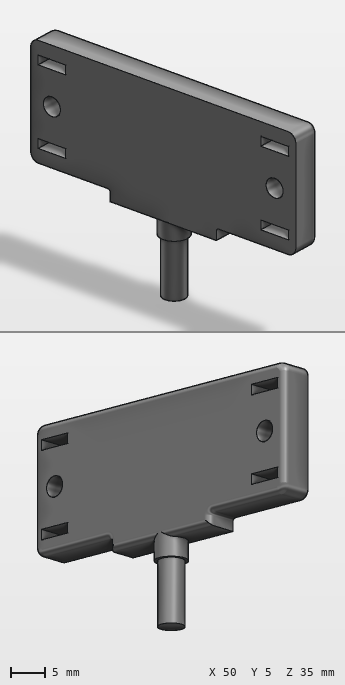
import cadquery as cq

plate_width = 50.0
plate_height = 20.0
thickness = 5.0
corner_radius = 1.5
back_edge_radius = 1.0

tab_width = 20.0
tab_height = 2.0
tab_root_radius = 0.5

sleeve_diameter = thickness
sleeve_length = 3.0
cable_diameter = 4.0
cable_length = 10.0

mount_inset = 4.0
hole_diameter = 3.2
slot_width = 5.2
slot_height = 1.6
slot_offset = 6.8

plate_bottom = -plate_height / 2
tab_bottom = plate_bottom - tab_height
sleeve_bottom = tab_bottom - sleeve_length
mount_x = plate_width / 2 - mount_inset


def make_housing():
    """Plate and tab as one body, with its back rim rounded."""
    plate = (
        cq.Workplane("XZ")
        .rect(plate_width, plate_height)
        .extrude(thickness / 2, both=True)
        .edges("|Y")
        .fillet(corner_radius)
    )
    tab_reach = -tab_bottom
    tab = (
        cq.Workplane("XZ")
        .center(0, tab_bottom + tab_reach / 2)
        .rect(tab_width, tab_reach)
        .extrude(thickness / 2, both=True)
    )
    tab_roots = cq.selectors.BoxSelector(
        (-tab_width / 2 - tab_root_radius, -thickness, plate_bottom - tab_root_radius),
        (tab_width / 2 + tab_root_radius, thickness, plate_bottom + tab_root_radius),
    )
    housing = plate.union(tab).clean()
    housing = housing.edges("|Y").edges(tab_roots).fillet(tab_root_radius)
    return housing.faces(">Y").edges().fillet(back_edge_radius)


def make_rod(diameter, top, bottom):
    """Vertical round rod on the Z axis."""
    return cq.Workplane("XY").workplane(offset=bottom).circle(diameter / 2).extrude(top - bottom)


def make_mount_cutters():
    """Through holes and slots at both ends of the plate."""
    holes = (
        cq.Workplane("XZ")
        .pushPoints([(-mount_x, 0), (mount_x, 0)])
        .circle(hole_diameter / 2)
        .extrude(thickness, both=True)
    )
    slots = (
        cq.Workplane("XZ")
        .rect(2 * mount_x, 2 * slot_offset, forConstruction=True)
        .vertices()
        .rect(slot_width, slot_height)
        .extrude(thickness, both=True)
    )
    return holes.union(slots)


sleeve = make_rod(sleeve_diameter, tab_bottom + back_edge_radius, sleeve_bottom)
cable = make_rod(cable_diameter, sleeve_bottom, sleeve_bottom - cable_length)

result = make_housing().cut(make_mount_cutters()).union(sleeve).union(cable)